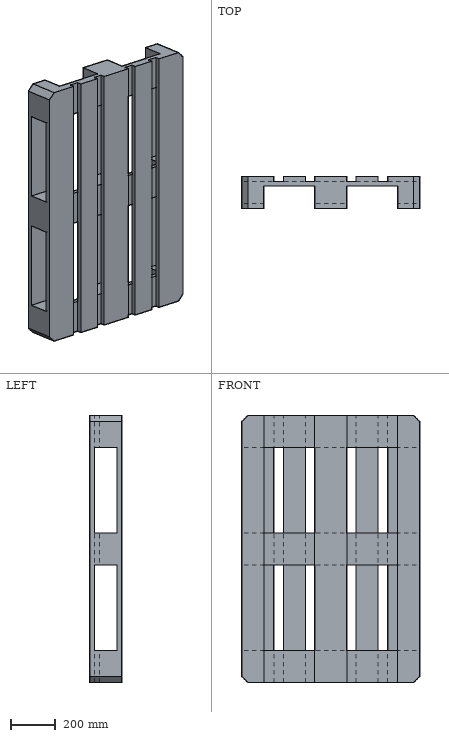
import cadquery as cq

width = 800.0
height = 144.0
length = 1200.0

board_thickness = 22.0
wide_board = 145.0
narrow_board = 100.0
corner_chamfer = 28.0

inner_deck_gap = 40.0
outer_deck_offset = (width - wide_board) / 2
narrow_deck_offset = wide_board / 2 + inner_deck_gap + narrow_board / 2
deck_layout = [
    (-outer_deck_offset, wide_board),
    (-narrow_deck_offset, narrow_board),
    (0.0, wide_board),
    (narrow_deck_offset, narrow_board),
    (outer_deck_offset, wide_board),
]

side_offset = (width - narrow_board) / 2
columns = [(-side_offset, narrow_board), (0.0, wide_board), (side_offset, narrow_board)]

row_offset = (length - wide_board) / 2
row_centres = [-row_offset, 0.0, row_offset]

bottom_y = -height / 2
top_y = height / 2
deck_bottom_y = top_y - board_thickness
stringer_bottom_y = deck_bottom_y - board_thickness
runner_top_y = bottom_y + board_thickness


def timber(x_centre, x_size, y_low, y_high, z_centre, z_size):
    """Rectangular timber centred at x_centre and z_centre, spanning y_low to y_high."""
    y_centre = (y_low + y_high) / 2
    return cq.Workplane("XY").box(x_size, y_high - y_low, z_size).translate((x_centre, y_centre, z_centre))


def deck_boards():
    """Full-length top boards."""
    return [timber(x, board_width, deck_bottom_y, top_y, 0.0, length) for x, board_width in deck_layout]


def stringers():
    """Full-width cross boards directly under the deck."""
    return [timber(0.0, width, stringer_bottom_y, deck_bottom_y, z, wide_board) for z in row_centres]


def blocks():
    """Spacer blocks between the stringers and the runners."""
    return [
        timber(x, block_width, runner_top_y, stringer_bottom_y, z, wide_board)
        for x, block_width in columns
        for z in row_centres
    ]


def runners():
    """Full-length bottom boards under each column of blocks."""
    return [timber(x, runner_width, bottom_y, runner_top_y, 0.0, length) for x, runner_width in columns]


def chamfered_envelope():
    """Overall block with its four corner edges along Y chamfered."""
    return cq.Workplane("XY").box(width, height, length).edges("|Y").chamfer(corner_chamfer)


pallet = cq.Workplane("XY")
for piece in deck_boards() + stringers() + blocks() + runners():
    pallet = pallet.union(piece)

result = pallet.intersect(chamfered_envelope()).clean()